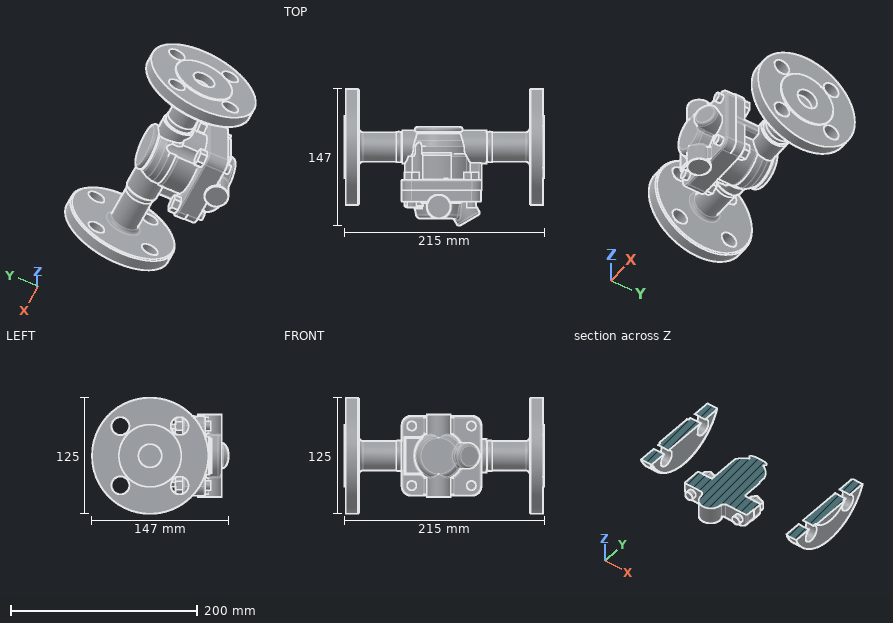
import cadquery as cq
import math


overall_length = 215.0
flange_dia = 125.0
flange_thickness = 14.5
raised_face_dia = 67.0
raised_face_height = 1.5
flange_chamfer = 1.5
bolt_circle_dia = 90.0
flange_hole_dia = 19.0
flange_hole_count = 4
flange_hole_start_angle = 45.0
bore_dia = 25.0
bore_depth = 10.0
pipe_dia = 32.0
pipe_fillet = 4.0
bead_length = 5.6
bead_rise = 0.65
bead_gap = 0.8
gap_depth = 0.5

boss_dia = 36.0
boss_end_x = 45.3

body_x = -6.0
cap_flat_radius = 22.4
cap_rim_radius = 25.2
cap_end_y = 21.8
cap_start_y = 16.2
neck_radius = 25.0
neck_start_y = 15.0
cone_radius = 26.6
cone_start_y = 13.5
flare_radius = 30.6
flare_y = 7.0
shoulder_radius = 32.6
shoulder_y = 0.6
trunk_radius = 33.5
step_start_y = -7.0
step_end_y = -9.8
root_fillet = 1.2

panel_radius = 33.9
panel_rear_y = -6.0
panel_step_y = -8.6
panel_left_x = -24.0
panel_right_x = 7.5

left_bulge_radius = 29.5
left_bulge_end_x = -42.5
right_bulge_radius = 27.5
right_bulge_end_x = 28.5

plate_x = -3.0
plate_size = 86.0
plate_corner_radius = 10.5
plate_rear_y = -35.0
joint_y = -46.7
plate_front_y = -59.0
plate_edge_fillet = 1.5
cover_trim = 0.6

bolt_spacing = 64.0
bolt_dia = 10.0
bolt_front_y = -65.0
nut_width = 16.0
nut_height = 7.8
nut_clearance_radius = 12.0

strut_end_x = 40.2
strut_width = 12.0
strut_fillet = 3.0

dome_base_radius = 27.3
dome_draft = 11.3
dome_front_y = -77.0
dome_fillet = 5.3
dome_root_fillet = 1.5
port_blend_fillet = 1.5
blend_front_y = -72.0
touch_tolerance = 1e-4
port_dia = 26.0
port_span = 89.4
port_chamfer = 0.5
port_root_fillet = 3.0
plug_dia = 28.0
plug_angle = 30.0
plug_face_x = 26.9
plug_fillet = 3.0
plug_root_fillet = 3.0
overall_depth = 147.04
front_limit_y = flange_dia / 2 - overall_depth

pad_left_x = -43.0
pad_height = 41.0
pad_front_y = -64.6
pad_chamfer = 1.5


def cylinder_along_y(x, z, radius, y_rear, y_front):
    """Cylinder parallel to Y, from y_rear forward to y_front."""
    return (
        cq.Workplane("XZ", origin=(x, y_rear, z))
        .circle(radius)
        .extrude(y_rear - y_front)
    )


def make_pipe_end():
    """Right-hand pipe, weld bead and flange, up to the raised face."""
    raised_x = overall_length / 2
    face_x = raised_x - raised_face_height
    back_x = face_x - flange_thickness
    pipe_r = pipe_dia / 2
    flange_r = flange_dia / 2
    bead_start_x = boss_end_x + bead_gap
    bead_end_x = bead_start_x + bead_length
    fillet_mid = pipe_fillet * (1 - math.sqrt(0.5))
    profile = (
        cq.Workplane("XY")
        .moveTo(0, 0)
        .lineTo(0, pipe_r - gap_depth)
        .lineTo(bead_start_x, pipe_r - gap_depth)
        .lineTo(bead_start_x, pipe_r)
        .threePointArc(((bead_start_x + bead_end_x) / 2, pipe_r + bead_rise), (bead_end_x, pipe_r))
        .lineTo(back_x - pipe_fillet, pipe_r)
        .threePointArc((back_x - fillet_mid, pipe_r + fillet_mid), (back_x, pipe_r + pipe_fillet))
        .lineTo(back_x, flange_r - flange_chamfer)
        .lineTo(back_x + flange_chamfer, flange_r)
        .lineTo(face_x, flange_r)
        .lineTo(face_x, raised_face_dia / 2)
        .lineTo(raised_x, raised_face_dia / 2)
        .lineTo(raised_x, 0)
        .close()
    )
    end = profile.revolve(360, (0, 0, 0), (1, 0, 0))
    holes = (
        cq.Workplane("YZ", origin=(back_x, 0, 0))
        .polarArray(bolt_circle_dia / 2, flange_hole_start_angle, 360, flange_hole_count)
        .circle(flange_hole_dia / 2)
        .extrude(flange_thickness)
    )
    bore = (
        cq.Workplane("YZ", origin=(raised_x - bore_depth, 0, 0))
        .circle(bore_dia / 2)
        .extrude(bore_depth)
    )
    return end.cut(holes).cut(bore)


def make_panel():
    """Slightly raised panel on the top of the trunk."""
    root_mid = root_fillet * (1 - math.sqrt(0.5))
    panel_top = panel_radius + root_fillet
    ring = (
        cq.Workplane("XY", origin=(body_x, 0, 0))
        .moveTo(0, panel_rear_y)
        .lineTo(shoulder_radius, panel_rear_y)
        .lineTo(panel_radius, panel_step_y)
        .lineTo(panel_radius, plate_rear_y + root_fillet)
        .threePointArc(
            (panel_radius + root_mid, plate_rear_y + root_mid),
            (panel_radius + root_fillet, plate_rear_y),
        )
        .lineTo(0, plate_rear_y)
        .close()
        .revolve(360, (0, 0, 0), (0, 1, 0))
    )
    window = (
        cq.Workplane("XY")
        .box(
            panel_right_x - panel_left_x,
            panel_rear_y - plate_rear_y,
            panel_top,
            centered=False,
        )
        .translate((panel_left_x, plate_rear_y, 0))
    )
    return ring.intersect(window)


def make_body():
    """Turned cap, neck and trunk with side bulges, relieved around the nuts."""
    cap = (
        cq.Workplane("XY", origin=(body_x, 0, 0))
        .moveTo(0, cap_start_y)
        .lineTo(0, cap_end_y)
        .lineTo(cap_flat_radius, cap_end_y)
        .tangentArcPoint((cap_rim_radius, cap_start_y), relative=False)
        .close()
        .revolve(360, (0, 0, 0), (0, 1, 0))
    )
    root_mid = root_fillet * (1 - math.sqrt(0.5))
    body = (
        cq.Workplane("XY", origin=(body_x, 0, 0))
        .moveTo(0, cap_start_y)
        .lineTo(neck_radius, cap_start_y)
        .lineTo(neck_radius, neck_start_y)
        .lineTo(cone_radius, cone_start_y)
        .lineTo(flare_radius, flare_y)
        .lineTo(shoulder_radius, shoulder_y)
        .lineTo(shoulder_radius, step_start_y)
        .lineTo(trunk_radius, step_end_y)
        .lineTo(trunk_radius, plate_rear_y + root_fillet)
        .threePointArc(
            (trunk_radius + root_mid, plate_rear_y + root_mid),
            (trunk_radius + root_fillet, plate_rear_y),
        )
        .lineTo(0, plate_rear_y)
        .close()
        .revolve(360, (0, 0, 0), (0, 1, 0))
    )
    bulges = [
        (left_bulge_end_x + left_bulge_radius, left_bulge_radius),
        (right_bulge_end_x - right_bulge_radius, right_bulge_radius),
    ]
    for x, radius in bulges:
        body = body.union(cylinder_along_y(x, 0, radius, step_end_y, plate_rear_y))
    body = body.union(make_panel())
    for x, z in bolt_positions:
        body = body.cut(cylinder_along_y(x, z, nut_clearance_radius, cap_start_y, plate_rear_y))
    return body.union(cap)


def make_plates():
    """Body plate and slightly smaller cover plate, flush along the left and bottom edges."""
    left_x = plate_x - plate_size / 2
    bottom_z = -plate_size / 2

    def plate(size, y_rear, y_front):
        return (
            cq.Workplane("XZ", origin=(left_x, y_rear, bottom_z))
            .rect(size, size, centered=False)
            .extrude(y_rear - y_front)
            .edges("|Y")
            .fillet(plate_corner_radius)
        )

    rear = plate(plate_size, plate_rear_y, joint_y)
    rear = rear.faces(">Y").edges().fillet(plate_edge_fillet)
    cover = plate(plate_size - cover_trim, joint_y, plate_front_y)
    cover = cover.faces("<Y").edges().fillet(plate_edge_fillet)
    return rear, cover


def make_bolt(x, z):
    """Stud end in front of the cover and hexagon nut behind the body plate."""
    stud = cylinder_along_y(x, z, bolt_dia / 2, joint_y, bolt_front_y)
    nut = (
        cq.Workplane("XZ", origin=(x, plate_rear_y + nut_height, z))
        .transformed(rotate=(0, 0, 90))
        .polygon(6, nut_width / math.cos(math.pi / 6))
        .extrude(nut_height + plate_edge_fillet)
    )
    return stud.union(nut)


def make_strut():
    """Upright web joining the right boss to the body plate."""
    return (
        cq.Workplane("XY")
        .box(strut_end_x - body_x, -joint_y, strut_width, centered=(False, False, True))
        .translate((body_x, joint_y, 0))
        .edges("|Y and >X")
        .fillet(strut_fillet)
    )


def make_dome():
    """Tapered round dome of the cover."""
    depth = plate_front_y - dome_front_y
    front_radius = dome_base_radius - depth * math.tan(math.radians(dome_draft))
    dome = (
        cq.Workplane("XY", origin=(body_x, 0, 0))
        .moveTo(0, joint_y)
        .lineTo(dome_base_radius, joint_y)
        .lineTo(dome_base_radius, plate_front_y)
        .lineTo(front_radius, dome_front_y)
        .lineTo(0, dome_front_y)
        .close()
        .revolve(360, (0, 0, 0), (0, 1, 0))
    )
    return dome.faces("<Y").edges().fillet(dome_fillet)


def make_ports():
    """Vertical ports through the dome, chamfered at both ends."""
    port_r = port_dia / 2
    port_base = cq.Plane(
        origin=(body_x, dome_front_y + port_r, -port_span / 2),
        xDir=(0, 1, 0),
        normal=(0, 0, 1),
    )
    return (
        cq.Workplane(port_base)
        .circle(port_r)
        .extrude(port_span)
        .faces("|Z")
        .edges()
        .chamfer(port_chamfer)
    )


def make_port_roots():
    """Concave fillets between the vertical ports and the cover plate."""
    port_r = port_dia / 2
    port_y = dome_front_y + port_r
    centre_y = plate_front_y - port_root_fillet
    centre_dx = math.sqrt((port_r + port_root_fillet) ** 2 - (centre_y - port_y) ** 2)
    height = plate_size - 2 * plate_edge_fillet
    tangent_y = port_y + (centre_y - port_y) * port_r / (port_r + port_root_fillet)
    block = (
        cq.Workplane("XY")
        .box(2 * centre_dx, plate_front_y - tangent_y, height)
        .translate((body_x, (plate_front_y + tangent_y) / 2, 0))
    )
    for side in (-1, 1):
        groove = (
            cq.Workplane("XY", origin=(body_x + side * centre_dx, centre_y, -height / 2))
            .circle(port_root_fillet)
            .extrude(height)
        )
        block = block.cut(groove)
    return block


def make_plug_boss():
    """Inclined boss on the right of the dome, rounded at its free end."""
    angle = math.radians(plug_angle)
    plug_r = plug_dia / 2
    rim_drop = (plug_r - plug_fillet) * math.sin(angle) + plug_fillet * (1 - math.cos(angle))
    face_y = front_limit_y + rim_drop
    outward = (math.sin(angle), -math.cos(angle), 0)
    face_plane = cq.Plane(origin=(plug_face_x, face_y, 0), xDir=(0, 0, 1), normal=outward)
    length = (joint_y - face_y) / math.cos(angle)
    boss = cq.Workplane(face_plane).circle(plug_r).extrude(-length)
    return boss.edges(cq.selectors.NearestToPointSelector((plug_face_x, face_y, 0))).fillet(plug_fillet)


def make_pad():
    """Raised rectangular pad for the name plate, left of the dome."""
    pad = (
        cq.Workplane("XZ", origin=(0, joint_y, 0))
        .rect(body_x - pad_left_x, pad_height)
        .extrude(joint_y - pad_front_y)
        .translate(((body_x + pad_left_x) / 2, 0, 0))
    )
    return pad.faces("<Y").edges("<X or |X").chamfer(pad_chamfer)


def make_dome_root(foot_y):
    """Ring with a concave fillet around the dome where it rises from a flat at foot_y."""
    foot_radius = dome_base_radius - (plate_front_y - foot_y) * math.tan(math.radians(dome_draft))
    root_mid = dome_root_fillet * (1 - math.sqrt(0.5))
    return (
        cq.Workplane("XY", origin=(body_x, 0, 0))
        .moveTo(0, joint_y)
        .lineTo(foot_radius + dome_root_fillet, joint_y)
        .lineTo(foot_radius + dome_root_fillet, foot_y)
        .threePointArc(
            (foot_radius + root_mid, foot_y - root_mid),
            (foot_radius, foot_y - dome_root_fillet),
        )
        .lineTo(0, foot_y - dome_root_fillet)
        .close()
        .revolve(360, (0, 0, 0), (0, 1, 0))
    )


def fillet_meeting_edges(first, second, radius, front_y, rear_y):
    """Join two shapes and round the edges where they meet, from front_y back to rear_y."""
    joined = first.union(second)
    edges = []
    for edge in joined.edges().vals():
        middle = edge.positionAt(0.5)
        point = cq.Vertex.makeVertex(*middle.toTuple())
        on_both = all(
            min(face.distance(point) for face in shape.faces().vals()) < touch_tolerance
            for shape in (first, second)
        )
        if on_both and front_y < middle.y < rear_y + touch_tolerance:
            edges.append(edge)
    return joined.newObject(edges).fillet(radius)


def make_cover(plate):
    """Cover plate with everything that stands on it."""
    dome = make_dome()
    plug_boss = make_plug_boss()
    pad = make_pad()
    pad_face_height = pad_height - 2 * pad_chamfer
    pad_zone = (
        cq.Workplane("XY")
        .box(
            body_x - pad_left_x,
            joint_y - dome_front_y,
            pad_face_height,
            centered=(False, False, True),
        )
        .translate((pad_left_x, dome_front_y, 0))
    )
    pad_root = make_dome_root(pad_front_y).intersect(pad_zone)
    raised = fillet_meeting_edges(dome, plug_boss, plug_root_fillet, front_limit_y, joint_y)
    raised = fillet_meeting_edges(raised, make_ports(), port_blend_fillet, blend_front_y, plate_front_y)
    cover = plate
    for feature in (pad, make_dome_root(plate_front_y), pad_root, make_port_roots(), raised):
        cover = cover.union(feature)
    return cover


half_spacing = bolt_spacing / 2
bolt_positions = [
    (plate_x + side_x * half_spacing, side_z * half_spacing)
    for side_x in (-1, 1)
    for side_z in (-1, 1)
]

right_end = make_pipe_end()
result = right_end.union(right_end.mirror("YZ"))
result = result.union(
    cq.Workplane("YZ", origin=(-boss_end_x, 0, 0)).circle(boss_dia / 2).extrude(2 * boss_end_x)
)
result = result.union(make_body())
result = result.union(make_strut())
rear_plate, cover_plate = make_plates()
result = result.union(rear_plate)
result = result.union(make_cover(cover_plate))
for bolt_x, bolt_z in bolt_positions:
    result = result.union(make_bolt(bolt_x, bolt_z))